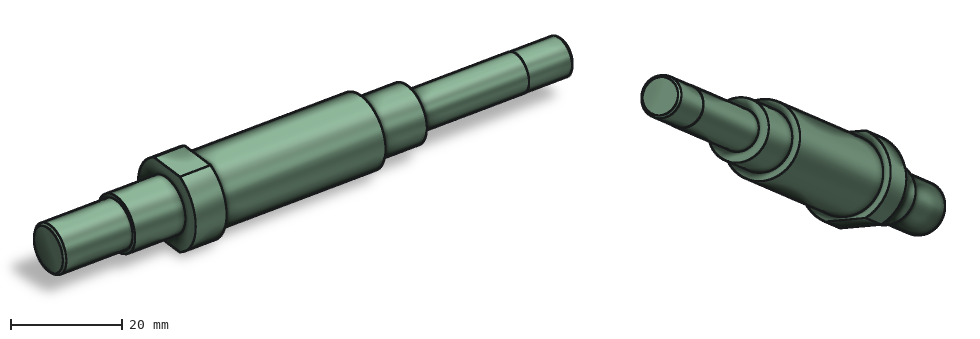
import cadquery as cq

total_length = 113.0
plug_diameter, plug_length = 10.0, 15.0
neck_diameter, neck_length = 11.5, 11.1
flange_diameter, flange_length = 18.0, 6.8
body_diameter, body_length = 15.0, 36.0
shoulder_diameter, shoulder_length = 12.0, 10.2
shaft_diameter, shaft_length = 8.0, 24.0
tip_diameter = 7.9

flange_height = 16.0
end_chamfer = 0.5

tip_length = total_length - (
    plug_length + neck_length + flange_length + body_length + shoulder_length + shaft_length
)


def add_section(part, diameter, length):
    """Extend the pin toward +Y with a coaxial cylinder."""
    return part.faces(">Y").workplane(origin=(0, 0, 0)).circle(diameter / 2).extrude(length)


def make_flange():
    """Round flange with flats on its top and bottom."""
    start = -total_length / 2 + plug_length + neck_length
    disc = (
        cq.Workplane("XZ", origin=(0, start, 0))
        .circle(flange_diameter / 2)
        .extrude(-flange_length)
    )
    flat_block = cq.Workplane("XY").box(flange_diameter, total_length, flange_height)
    return disc.intersect(flat_block)


plug = (
    cq.Workplane("XZ", origin=(0, -total_length / 2, 0))
    .circle(plug_diameter / 2)
    .extrude(-plug_length)
)
pin = add_section(plug, neck_diameter, neck_length).union(make_flange())

for diameter, length in (
    (body_diameter, body_length),
    (shoulder_diameter, shoulder_length),
    (shaft_diameter, shaft_length),
    (tip_diameter, tip_length),
):
    pin = add_section(pin, diameter, length)

result = pin.faces("<Y or >Y").edges().chamfer(end_chamfer)